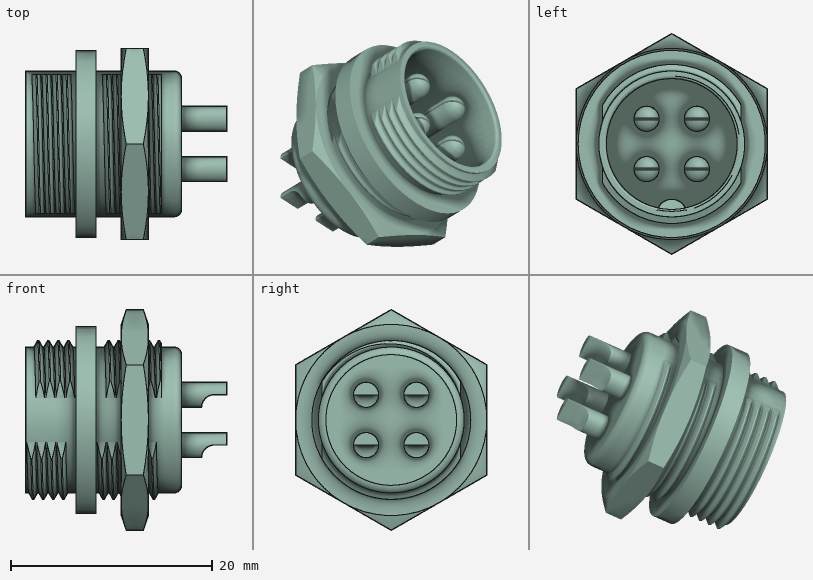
import cadquery as cq
import math


barrel_radius = 7.25
barrel_length = 15.5
rear_fillet = 0.75
bore_radius = 6.5
mouth_fillet = 0.25

flange_radius = 9.3
flange_start = 5.0
flange_width = 2.0
flange_end = flange_start + flange_width

thread_pitch = 1.0
thread_crest_radius = 7.9
thread_crest_width = 0.125
thread_half_angle = math.radians(30)
thread_flat_offset = 6.9
thread_overlap = 0.1
front_thread_turns = 4
rear_thread_turns = 6
rear_thread_end = 13.5

key_radius = 1.5
key_drop = 7.0
key_cone_radius = 6.7

insert_front = 9.5

nut_flats = 19.0
nut_start = 9.5
nut_width = 2.7
nut_chamfer_depth = 0.5
nut_bore_radius = barrel_radius
nut_countersink = thread_crest_radius - barrel_radius

pin_radius = 1.25
pin_offset = 2.5
pin_tip = 1.0
pin_end = 20.0
dome_radius = pin_radius * 0.9999
slit_width = 0.2
cup_start = 17.5


def rod(radius, start, end, y=0.0, z=0.0):
    """Cylinder parallel to X between two X positions."""
    return cq.Workplane("YZ", origin=(start, y, z)).circle(radius).extrude(end - start)


def thread_ridge(start, end, turns):
    """Helical ridge starting on the -Y side, with the two side flats cut off."""
    inner_radius = barrel_radius - thread_overlap
    half_crest = thread_crest_width / 2
    half_base = half_crest + (thread_crest_radius - inner_radius) * math.tan(thread_half_angle)
    middle = start + thread_pitch / 2
    path = cq.Wire.makeHelix(thread_pitch, thread_pitch * turns, barrel_radius)
    ridge = (
        cq.Workplane("XZ")
        .moveTo(inner_radius, -half_base)
        .lineTo(thread_crest_radius, -half_crest)
        .lineTo(thread_crest_radius, half_crest)
        .lineTo(inner_radius, half_base)
        .close()
        .sweep(cq.Workplane(path), isFrenet=True)
    )
    ridge = ridge.rotate((0, 0, 0), (0, 0, 1), -90).rotate((0, 0, 0), (0, 1, 0), 90)
    between_flats = cq.Workplane("XY").box(
        end - start, 2 * thread_flat_offset, 4 * barrel_radius, centered=(False, True, True)
    )
    return ridge.translate((middle, 0, 0)).intersect(between_flats.translate((start, 0, 0)))


def bore_void():
    """Space inside the barrel: a bore with a rounded mouth, less the sloped key."""
    mouth_radius = bore_radius + mouth_fillet
    bore = (
        cq.Workplane("XY")
        .lineTo(0, mouth_radius)
        .radiusArc((mouth_fillet, bore_radius), -mouth_fillet)
        .lineTo(barrel_length, bore_radius)
        .lineTo(barrel_length, 0)
        .close()
        .revolve(360, (0, 0, 0), (1, 0, 0))
    )
    cone = (
        cq.Workplane("XY")
        .lineTo(0, key_cone_radius)
        .lineTo(key_cone_radius, 0)
        .close()
        .revolve(360, (0, 0, 0), (1, 0, 0))
    )
    key = rod(key_radius, 0, insert_front, z=-key_drop).cut(cone)
    return bore.cut(key)


def make_housing(threads):
    """Flanged, threaded barrel with a keyed bore."""
    body = rod(barrel_radius, 0, barrel_length).faces(">X").edges().fillet(rear_fillet)
    body = body.union(rod(flange_radius, flange_start, flange_end))
    for thread in threads:
        body = body.union(thread)
    return body.cut(bore_void())


def make_nut(thread):
    """Chamfered hexagon with corners up and down, threaded to fit the barrel."""
    inscribed = nut_flats / 2
    corner = inscribed / math.cos(math.pi / 6)
    nut = (
        cq.Workplane("YZ", origin=(nut_start, 0, 0))
        .transformed(rotate=(0, 0, 90))
        .polygon(6, 2 * corner)
        .extrude(nut_width)
    )
    end = nut_start + nut_width
    envelope = (
        cq.Workplane("XY")
        .moveTo(nut_start, nut_bore_radius + nut_countersink)
        .lineTo(nut_start, inscribed)
        .lineTo(nut_start + nut_chamfer_depth, corner)
        .lineTo(end - nut_chamfer_depth, corner)
        .lineTo(end, inscribed)
        .lineTo(end, nut_bore_radius + nut_countersink)
        .lineTo(end - nut_countersink, nut_bore_radius)
        .lineTo(nut_start + nut_countersink, nut_bore_radius)
        .close()
        .revolve(360, (0, 0, 0), (1, 0, 0))
    )
    return nut.intersect(envelope).cut(thread)


def make_pin(y, z):
    """Contact pin with a slit domed tip and a half-open solder cup."""
    pin = rod(pin_radius, pin_tip, pin_end, y, z).faces("<X").edges().fillet(dome_radius)
    slit_length = insert_front - pin_tip
    slit = cq.Workplane("XY").box(slit_length, 2 * pin_radius, slit_width)
    pin = pin.cut(slit.translate((pin_tip + slit_length / 2, y, z)))
    cup = (
        cq.Workplane("XZ", origin=(0, y, z))
        .moveTo(cup_start, -pin_radius)
        .radiusArc((cup_start + pin_radius, 0), pin_radius)
        .lineTo(pin_end, 0)
        .lineTo(pin_end, -pin_radius)
        .close()
        .extrude(pin_radius, both=True)
    )
    return pin.cut(cup)


def make_insert():
    """Disc filling the back of the bore, with a hole for each pin."""
    insert = rod(bore_radius, insert_front, barrel_length)
    for y, z in pin_places:
        insert = insert.cut(rod(pin_radius, insert_front, barrel_length, y, z))
    return insert


pin_places = [(y, z) for y in (-pin_offset, pin_offset) for z in (-pin_offset, pin_offset)]
front_thread = thread_ridge(0, flange_start, front_thread_turns)
rear_thread = thread_ridge(flange_end, rear_thread_end, rear_thread_turns)
housing = make_housing([front_thread, rear_thread])
nut = make_nut(rear_thread)
insert = make_insert()
pins = [make_pin(y, z) for y, z in pin_places]

result = cq.Compound.makeCompound(
    [housing.val(), nut.val(), insert.val(), *[pin.val() for pin in pins]]
)